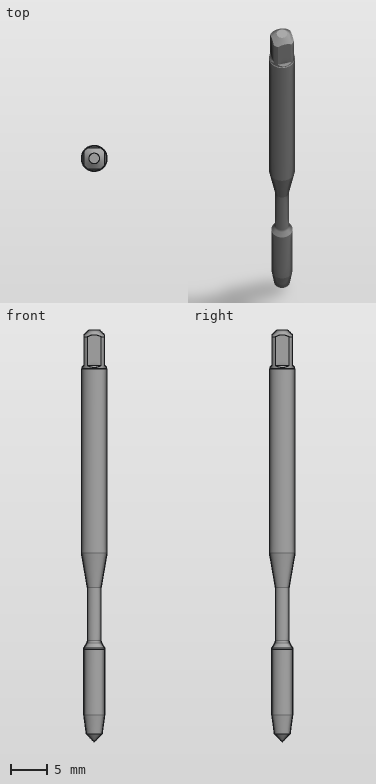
import cadquery as cq
import math

overall_length = 56.81
shank_radius = 3.58 / 2
neck_radius = 1.92 / 2
thread_radius = 2.91 / 2

tip_radius = 1.10
tip_height = 1.12
lead_top = 3.72
cutting_top = 12.75

collar_top = 12.92
shoulder_angle = math.radians(30)
neck_fillet_radius = 0.68
shoulder_radius = neck_radius + neck_fillet_radius * (1 - math.cos(shoulder_angle))
shoulder_top = collar_top + (thread_radius - shoulder_radius) / math.tan(shoulder_angle)
neck_bottom = shoulder_top + neck_fillet_radius * math.sin(shoulder_angle)

taper_bottom = 21.27
taper_top = 26.08
shank_top = 51.40

drive_radius = 3.44 / 2
drive_width = 2.86
drive_bottom = 51.93
end_radius = 0.73
end_cone_height = 0.94


def make_cutting_end():
    return (
        cq.Workplane("XZ")
        .moveTo(0, 0)
        .lineTo(tip_radius, tip_height)
        .lineTo(thread_radius, lead_top)
        .lineTo(thread_radius, cutting_top)
        .lineTo(0, cutting_top)
        .close()
        .revolve(360, (0, 0), (0, 1))
    )


def make_turned_shank():
    """Round blank of the shank, before the drive flats are cut."""
    half_angle = shoulder_angle / 2
    fillet_middle = (
        neck_radius + neck_fillet_radius * (1 - math.cos(half_angle)),
        neck_bottom - neck_fillet_radius * math.sin(half_angle),
    )
    return (
        cq.Workplane("XZ")
        .moveTo(0, cutting_top)
        .lineTo(thread_radius, cutting_top)
        .lineTo(thread_radius, collar_top)
        .lineTo(shoulder_radius, shoulder_top)
        .threePointArc(fillet_middle, (neck_radius, neck_bottom))
        .lineTo(neck_radius, taper_bottom)
        .lineTo(shank_radius, taper_top)
        .lineTo(shank_radius, shank_top)
        .lineTo(drive_radius, shank_top + shank_radius - drive_radius)
        .lineTo(drive_radius, overall_length - end_cone_height)
        .lineTo(end_radius, overall_length)
        .lineTo(0, overall_length)
        .close()
        .revolve(360, (0, 0), (0, 1))
    )


def make_flat_cutter():
    """Material removed beside one drive flat, with a 45 degree run-out at its foot."""
    flat_distance = drive_width / 2
    reach = shank_radius
    return (
        cq.Workplane("XZ")
        .moveTo(flat_distance, drive_bottom)
        .lineTo(flat_distance + reach, drive_bottom - reach)
        .lineTo(flat_distance + reach, overall_length)
        .lineTo(flat_distance, overall_length)
        .close()
        .extrude(shank_radius, both=True)
    )


def make_shank():
    body = make_turned_shank()
    for quarter_turn in range(4):
        cutter = make_flat_cutter().rotate((0, 0, 0), (0, 0, 1), 90 * quarter_turn)
        body = body.cut(cutter)
    return body


cutting_end = make_cutting_end()
shank = make_shank()

result = cq.Compound.makeCompound([cutting_end.val(), shank.val()])